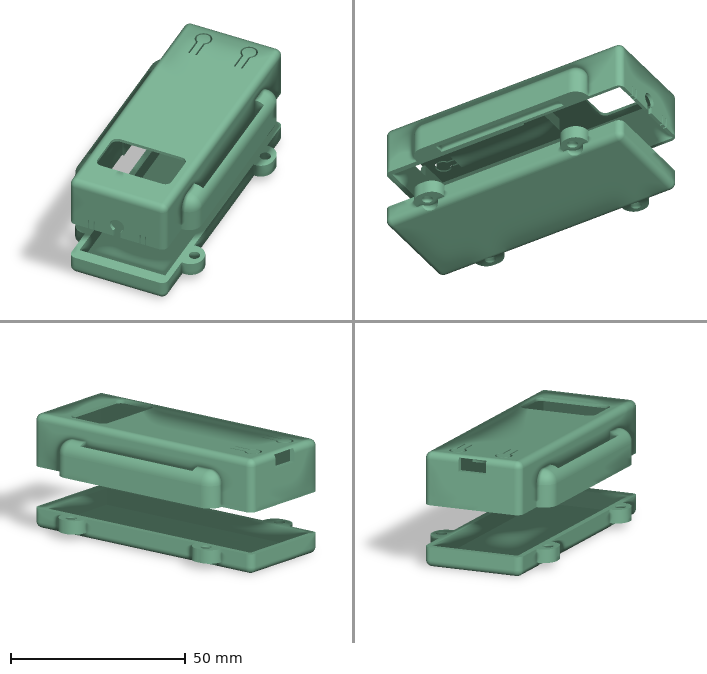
import cadquery as cq
case_length = 80.0
case_width = 30.6
edge_radius = 2.0
tray_height = 6.0
cover_height = 15.6
gap_height = 12.4
cover_bottom = tray_height + gap_height
cover_top = cover_bottom + cover_height

tray_side_wall = 1.8
tray_front_wall = 3.7
tray_back_wall = 1.8
tray_floor = 1.1

cover_roof = 1.0
thin_wall = 1.0
thick_wall = 1.7
thick_wall_start = -6.0

loop_length = 58.0
loop_reach = 19.8
loop_height = 10.6
loop_radius = 4.0
strap_slot_length = 41.3
strap_slot_reach = 18.2

ear_outer_end = loop_length / 2
ear_inner_end_front = 20.5
ear_inner_end_back = 19.6
front_right_ear_reach = 20.2
screw_inset = 3.0
screw_front = 24.6
screw_back = 24.5
screw_hole_diameter = 3.2
screw_head_diameter = 6.0

window_width = 23.4
window_length = 13.1
window_center = -23.5
window_radius = 2.0

button_diameter = 4.1
button_stem_width = 1.8
button_slit = 0.5
button_offset = 7.2
button_center = 34.1
button_stem_root = 26.6

keyhole_diameter = 4.5
keyhole_neck = 2.2
keyhole_height = 3.9
snap_slit_width = 0.3
snap_slit_height = 3.1
snap_slit_offsets = (7.2, 9.0)

port_width = 8.6
port_height = 4.0
port_top_drop = 0.6

block_width = 11.8
block_back = 27.1
block_height = 4.0


def block_between(x_range, y_range, z_range):
    """Rectangular block spanning the given (low, high) ranges."""
    lows, highs = zip(x_range, y_range, z_range)
    sizes = [high - low for low, high in zip(lows, highs)]
    return cq.Workplane("XY").box(*sizes, centered=False).translate(lows)


def centered_block(width, length, z_range):
    """Rectangular block centred on the Z axis in plan."""
    return block_between((-width / 2, width / 2), (-length / 2, length / 2), z_range)


def vertical_cylinder(x, y, diameter, z_range):
    """Upright cylinder at a plan position."""
    low, high = z_range
    return cq.Workplane("XY", origin=(x, y, low)).circle(diameter / 2).extrude(high - low)


def strap_loops():
    """Rounded bar across the cover whose overhanging ends form the loops."""
    bar = centered_block(2 * loop_reach, loop_length, (cover_bottom, cover_bottom + loop_height))
    return bar.edges("|Z or >Z").fillet(loop_radius)


def strap_slots():
    """Vertical slots between the cover sides and the loops."""
    z_range = (cover_bottom, cover_top)
    across = centered_block(2 * strap_slot_reach, strap_slot_length, z_range)
    return across.cut(centered_block(case_width, case_length, z_range))


def cover_cavity():
    """Inside of the cover, wider at the display than behind it."""
    z_range = (cover_bottom, cover_top - cover_roof)
    front = -case_length / 2 + thin_wall
    back = case_length / 2 - thick_wall
    wide = case_width / 2 - thin_wall
    narrow = case_width / 2 - thick_wall
    display_bay = block_between((-wide, wide), (front, thick_wall_start), z_range)
    main_bay = block_between((-narrow, narrow), (thick_wall_start, back), z_range)
    return display_bay.union(main_bay)


def display_window():
    """Round-cornered opening through the roof."""
    window = centered_block(window_width, window_length, (cover_top - cover_roof, cover_top))
    return window.edges("|Z").fillet(window_radius).translate((0, window_center, 0))


def button_outline(margin):
    """Disc and stem of a button, grown by a margin, through the roof."""
    z_range = (cover_top - cover_roof, cover_top)
    half_stem = button_stem_width / 2 + margin
    disc = vertical_cylinder(0, button_center, button_diameter + 2 * margin, z_range)
    stem = block_between((-half_stem, half_stem), (button_stem_root, button_center), z_range)
    return disc.union(stem)


def button_slits(x):
    """Slit around one button, open where the stem joins the roof."""
    return button_outline(button_slit).cut(button_outline(0)).translate((x, 0, 0))


def front_wall_block(x, width, height):
    """Cutter through the front wall, rising from the cover's lower rim."""
    front = -case_length / 2
    return block_between(
        (x - width / 2, x + width / 2),
        (front, front + thin_wall),
        (cover_bottom, cover_bottom + height),
    )


def cable_keyhole():
    """Round cable hole with a neck open to the lower rim."""
    center = (0, -case_length / 2, cover_bottom + keyhole_height)
    hole = cq.Workplane("XZ", origin=center).circle(keyhole_diameter / 2).extrude(-thin_wall)
    return hole.union(front_wall_block(0, keyhole_neck, keyhole_height))


def connector_port():
    """Rectangular opening through the back wall, just under the roof."""
    back = case_length / 2
    top = cover_top - port_top_drop
    return block_between(
        (-port_width / 2, port_width / 2), (back - thick_wall, back), (top - port_height, top)
    )


def make_cover():
    cover = centered_block(case_width, case_length, (cover_bottom, cover_top))
    cover = cover.edges("|Z or >Z").fillet(edge_radius)
    cover = cover.union(strap_loops()).cut(strap_slots()).cut(cover_cavity())
    cover = cover.cut(display_window()).cut(cable_keyhole()).cut(connector_port())
    for side in (-1, 1):
        cover = cover.cut(button_slits(side * button_offset))
        for offset in snap_slit_offsets:
            cover = cover.cut(front_wall_block(side * offset, snap_slit_width, snap_slit_height))
    return cover


def screw_ear(side, end, reach, inner_end):
    """Round-cornered ear on one side (-1 left, 1 right) and end (-1 front, 1 back)."""
    ear = block_between((0, reach), (inner_end, ear_outer_end), (edge_radius, tray_height))
    ear = ear.edges("|Z and >X").fillet(loop_radius)
    if side < 0:
        ear = ear.mirror("YZ")
    if end < 0:
        ear = ear.mirror("XZ")
    return ear


def screw_cutter(x, y):
    """Screw hole through an ear, with room for the screw head below it."""
    hole = vertical_cylinder(x, y, screw_hole_diameter, (0, tray_height))
    return hole.union(vertical_cylinder(x, y, screw_head_diameter, (0, edge_radius)))


def tray_cavity():
    """Open-topped inside of the tray."""
    half_width = case_width / 2 - tray_side_wall
    return block_between(
        (-half_width, half_width),
        (-case_length / 2 + tray_front_wall, case_length / 2 - tray_back_wall),
        (tray_floor, tray_height),
    )


def make_tray():
    tray = centered_block(case_width, case_length, (0, tray_height))
    tray = tray.edges("|Z or <Z").fillet(edge_radius)
    for side in (-1, 1):
        for end in (-1, 1):
            at_front = end < 0
            inner_end = ear_inner_end_front if at_front else ear_inner_end_back
            screw_y = -screw_front if at_front else screw_back
            reach = front_right_ear_reach if at_front and side > 0 else loop_reach
            tray = tray.union(screw_ear(side, end, reach, inner_end))
            tray = tray.cut(screw_cutter(side * (reach - screw_inset), screw_y))
    return tray.cut(tray_cavity())


def make_inner_block():
    roof_underside = cover_top - cover_roof
    return block_between(
        (-block_width / 2, block_width / 2),
        (thick_wall_start, block_back),
        (roof_underside - block_height, roof_underside),
    )


cover = make_cover()
tray = make_tray()
inner_block = make_inner_block()

result = cq.Compound.makeCompound([cover.val(), tray.val(), inner_block.val()])